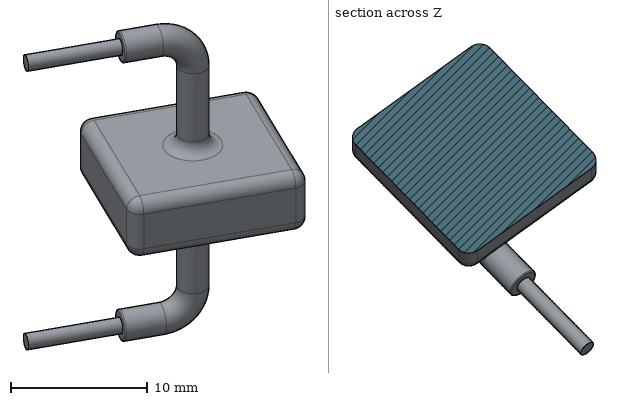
import cadquery as cq

OVERALL_Y = 19.73
OVERALL_Z = 26.55

BODY_X = 12.92
BODY_Y = 13.72
BODY_Z = 5.0
BODY_RADIUS = 1.0

SLEEVE_DIAMETER = 2.4
SLEEVE_END_Y = -5.6
SLEEVE_END_RADIUS = 0.1
ROOT_FILLET = 1.0
UPPER_BEND_RADIUS = 2.65
LOWER_BEND_RADIUS = 2.42

WIRE_DIAMETER = 1.24
WIRE_TIP_Y = BODY_Y / 2 - OVERALL_Y

SLEEVE_RADIUS = SLEEVE_DIAMETER / 2
WIRE_AXIS_Z = OVERALL_Z / 2 - SLEEVE_RADIUS


def make_body():
    """Box with every edge rounded by the same radius."""
    return cq.Workplane("XY").box(BODY_X, BODY_Y, BODY_Z).edges().fillet(BODY_RADIUS)


def make_sleeve(side, bend_radius):
    """Sleeve that rises from the body centre and bends toward -Y; side is +1 for up, -1 for down."""
    path = (
        cq.Workplane("YZ")
        .lineTo(0, side * (WIRE_AXIS_Z - bend_radius))
        .tangentArcPoint((-bend_radius, side * WIRE_AXIS_Z), relative=False)
        .lineTo(SLEEVE_END_Y, side * WIRE_AXIS_Z)
    )
    sleeve = cq.Workplane("XY").circle(SLEEVE_RADIUS).sweep(path)
    return sleeve.faces("<Y").edges().fillet(SLEEVE_END_RADIUS)


def make_root_flare(side):
    """Concave ring that blends the sleeve into the body face."""
    face_z = side * BODY_Z / 2
    flare_end_z = face_z + side * ROOT_FILLET
    profile = (
        cq.Workplane("XZ")
        .moveTo(0, face_z)
        .lineTo(SLEEVE_RADIUS + ROOT_FILLET, face_z)
        .radiusArc((SLEEVE_RADIUS, flare_end_z), side * ROOT_FILLET)
        .lineTo(0, flare_end_z)
        .close()
    )
    return profile.revolve(360, (0, 0, 0), (0, 1, 0))


def make_wire(side):
    """Straight bare wire that starts inside the sleeve and runs to the lead tip."""
    wire_start_y = SLEEVE_END_Y / 2
    return (
        cq.Workplane("XZ", origin=(0, wire_start_y, side * WIRE_AXIS_Z))
        .circle(WIRE_DIAMETER / 2)
        .extrude(wire_start_y - WIRE_TIP_Y)
    )


result = make_body()
for side, bend_radius in ((1, UPPER_BEND_RADIUS), (-1, LOWER_BEND_RADIUS)):
    result = result.union(make_sleeve(side, bend_radius))
    result = result.union(make_root_flare(side))
    result = result.union(make_wire(side))